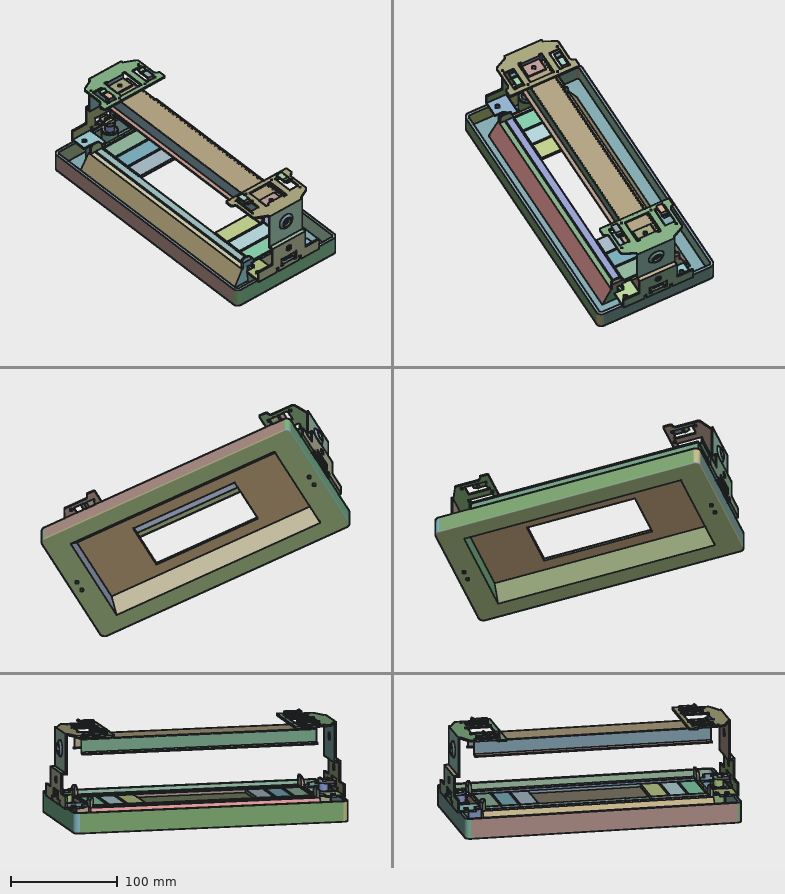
import cadquery as cq

OVERALL_LENGTH = 270.0
OVERALL_HEIGHT = 93.5

TRAY_LENGTH = 265.0
TRAY_WIDTH = 124.0
RIM_Z = 20.2
FOOT_PIN_HEIGHT = 0.67
TRAY_WALL = 3.0
FLOOR_THICKNESS = 2.2
TRAY_CORNER_RADIUS = 5.0
TRAY_EDGE_RADIUS = 1.0

DECK_BASE_LENGTH = 222.7
DECK_BASE_WIDTH = 96.5
DECK_TOP_LENGTH = 221.5
DECK_TOP_WIDTH = 74.2
WINDOW_LENGTH = 108.0
WINDOW_WIDTH = 46.0
SLAT_GROOVE_WIDTH = 1.3
RAIL_GROOVE_WIDTH = 1.0
SLAT_BEVEL = 1.0
GROOVE_DEPTH = 1.0
SLAT_PITCH = 17.8
SLAT_GROOVES = 3
RAIL_GROOVE_Y = 31.0

EAR_THICKNESS = 2.7
EAR_TOP_Z = 30.2
EAR_INNER_Y = 22.7
EAR_OUTER_Y = 36.0
EAR_CHAMFER_X = 1.5
EAR_CHAMFER_Z = 3.2
EAR_OUTER_RADIUS = 2.7
EAR_INNER_RADIUS = 8.0

RIB_OUTER_Y = 30.8
RIB_LENGTH = 12.0

POST_X = 123.7
POST_BASE_RADIUS = 7.8
POST_BASE_CHAMFER = 0.8
POST_RADIUS = 4.5
HEAD_RADIUS = 5.0
HEAD_BOTTOM_Z = 27.8
POST_TOP_Z = 31.9
POST_SLOT_WIDTH = 5.0
POST_SLOT_OFFSET = 0.8
TONGUE_BOTTOM_Z = 27.5
TONGUE_TOP_Z = 30.0
TONGUE_WIDTH = 9.7
FOOT_PIN_RADIUS = 1.5
FOOT_PIN_Y = 4.9

SHEET = 1.5
JOG = 4.3
JOG_TOP_Z = 51.3
PLATE_TOP_Z = 88.5
NECK_WIDTH = 40.0
FLANGE_WIDTH = 74.2
FLANGE_TOP_Z = 31.9
NECK_FILLET = 1.0
FOOT_LENGTH = 17.8
FOOT_NOTCH_WIDTH = 31.9
ARM_OUTER_Y = 26.0
ARM_FILLET = 2.7
FOOT_HOLE_X = 125.3
FOOT_HOLE_Y = 30.0
FOOT_HOLE_RADIUS = 2.2
LATCH_WINDOW_WIDTH = 19.0
LATCH_WINDOW_BOTTOM_Z = 24.3
LATCH_WINDOW_TOP_Z = 32.7
LATCH_SHELF_WIDTH = 13.0
LATCH_SHELF_LENGTH = 3.5
RELIEF_Y = 13.8
RELIEF_WIDTH = 2.5
WALL_HOLE_Z = 41.8
WALL_HOLE_RADIUS = 3.0
BOSS_Z = 71.5
BOSS_BASE_RADIUS = 8.0
BOSS_TOP_RADIUS = 5.5
BOSS_HEIGHT = 2.2
BOSS_HOLE_RADIUS = 3.5
BOSS_SINK_RADIUS = 4.3

PLATE_INNER_X = 87.5
PLATE_HEAD_LENGTH = 8.6
PLATE_HEAD_WIDTH = 74.5
PLATE_BODY_WIDTH = 66.0
PLATE_FILLET = 3.2
PLATE_HEAD_RADIUS = 1.3
PLATE_TAPER_OUTER_X = 128.5
PLATE_TAPER_INNER_X = 122.0
PLATE_TAPER_RADIUS = 2.7
CUTOUT_INNER_X = 92.3
CLIP_CUTOUT_OUTER_X = 113.7
CLIP_CUTOUT_WIDTH = 10.5
CLIP_CUTOUT_Y = 24.3
TAB_CUTOUT_WIDTH = 25.0
TAB_CUTOUT_OUTER_X = 117.0
TAB_WIDTH = 19.0
TAB_INNER_X = 102.3
TAB_HOLE_X = 109.0
TAB_HOLE_RADIUS = 2.0
CLIP_WIDTH = 6.5
CLIP_Y = 24.0
CLIP_THICKNESS = 1.3
CLIP_TOP_Z = 92.3
CLIP_BEND_X = 101.5
CLIP_DIP_X = 103.7
CLIP_DIP = 0.8
CLIP_PEAK_X = 106.6
CLIP_END_X = 108.0
DIMPLE_PLACES = [(116.6, 29.2), (91.3, 15.7)]
DIMPLE_RADIUS = 1.3
DIMPLE_HEIGHT = 0.5
DIMPLE_HOLE_RADIUS = 0.67

CHANNEL_LENGTH = 227.3
CHANNEL_TOP_Z = 82.0
CHANNEL_BOTTOM_Z = 67.5
CHANNEL_WIDTH = 27.0
CHANNEL_FLANGE_WIDTH = 35.0
CHANNEL_SHEET = 1.0
CHANNEL_FLANGE_DROP = 0.8

END_X = OVERALL_LENGTH / 2
TRAY_HEIGHT = RIM_Z - FOOT_PIN_HEIGHT
FLOOR_TOP_Z = FOOT_PIN_HEIGHT + FLOOR_THICKNESS
DECK_END_X = DECK_TOP_LENGTH / 2
NECK_OUTER_X = END_X - JOG
ARM_END_X = DECK_END_X
PLATE_BOTTOM_Z = PLATE_TOP_Z - SHEET
PLATE_HEAD_X = PLATE_INNER_X + PLATE_HEAD_LENGTH


def block(x_range, y_range, z_range):
    """Box between two limits along each axis."""
    sizes = [high - low for low, high in (x_range, y_range, z_range)]
    corner = (x_range[0], y_range[0], z_range[0])
    return cq.Workplane("XY").box(*sizes, centered=False).translate(corner)


def wide_block(x_range, width, z_range):
    """Box centred on the XZ plane."""
    return block(x_range, (-width / 2, width / 2), z_range)


def upright(x, y, z_range, radius):
    """Vertical cylinder."""
    height = z_range[1] - z_range[0]
    return cq.Workplane("XY", origin=(x, y, z_range[0])).circle(radius).extrude(height)


def both_sides(shape):
    """The shape together with its mirror image across the XZ plane."""
    return shape.union(shape.mirror("XZ"))


def both_ends(shape):
    """The shape together with its mirror image across the YZ plane."""
    return shape.union(shape.mirror("YZ"))


def tray_shell():
    shell = (
        cq.Workplane("XY", origin=(0, 0, FOOT_PIN_HEIGHT))
        .rect(TRAY_LENGTH, TRAY_WIDTH)
        .extrude(TRAY_HEIGHT)
        .edges("|Z")
        .fillet(TRAY_CORNER_RADIUS)
        .faces("<Z")
        .edges()
        .fillet(TRAY_EDGE_RADIUS)
    )
    inside = (
        cq.Workplane("XY", origin=(0, 0, FLOOR_TOP_Z))
        .rect(TRAY_LENGTH - 2 * TRAY_WALL, TRAY_WIDTH - 2 * TRAY_WALL)
        .extrude(TRAY_HEIGHT)
        .edges("|Z")
        .fillet(TRAY_CORNER_RADIUS - TRAY_WALL)
    )
    return shell.cut(inside)


def tapered_block(bottom_z, top_z, inset):
    """Deck outline drawn in by an inset, from one level to another."""
    return (
        cq.Workplane("XY", origin=(0, 0, bottom_z))
        .rect(DECK_BASE_LENGTH - 2 * inset, DECK_BASE_WIDTH - 2 * inset)
        .workplane(offset=top_z - bottom_z)
        .rect(DECK_TOP_LENGTH - 2 * inset, DECK_TOP_WIDTH - 2 * inset)
        .loft(combine=True)
    )


def groove(plane, sides, bottom, start, length):
    """Straight groove in the deck top: V section between two sides, meeting at a bottom line."""
    corners = [(sides[0], RIM_Z), (sides[1], RIM_Z), (bottom, RIM_Z - GROOVE_DEPTH)]
    section = cq.Workplane(plane).workplane(offset=start).polyline(corners).close()
    return section.extrude(length)


def even_groove(plane, place, width, start, length):
    """Symmetrical groove centred on a place."""
    return groove(plane, (place - width / 2, place + width / 2), place, start, length)


def deck_grooves():
    """Rail grooves, bevels along the slat ends and grooves between the slats."""
    rail = even_groove("YZ", RAIL_GROOVE_Y, RAIL_GROOVE_WIDTH, -DECK_END_X, DECK_TOP_LENGTH)
    slat_end_y = WINDOW_WIDTH / 2
    slats_x = WINDOW_LENGTH / 2
    slats_length = SLAT_GROOVES * SLAT_PITCH
    bevel = groove("YZ", (slat_end_y - SLAT_BEVEL, slat_end_y), slat_end_y, slats_x, slats_length)
    grooves = both_sides(rail).union(both_ends(both_sides(bevel)))
    for index in range(1, SLAT_GROOVES + 1):
        x = slats_x + index * SLAT_PITCH
        between = even_groove("XZ", x, SLAT_GROOVE_WIDTH, -slat_end_y, WINDOW_WIDTH)
        grooves = grooves.union(both_ends(between))
    return grooves


def ear():
    """Upright lug on the deck end, with rounded shoulders and a bevelled outward face."""
    lug = (
        block(
            (DECK_END_X - EAR_THICKNESS, DECK_END_X),
            (EAR_INNER_Y, EAR_OUTER_Y),
            (RIM_Z - TRAY_WALL, EAR_TOP_Z),
        )
        .edges("|X and >Z and >Y")
        .fillet(EAR_OUTER_RADIUS)
        .edges("|X and >Z and <Y")
        .fillet(EAR_INNER_RADIUS)
    )
    bevel_corners = [
        (DECK_END_X, EAR_TOP_Z - EAR_CHAMFER_Z),
        (DECK_END_X, EAR_TOP_Z),
        (DECK_END_X - EAR_CHAMFER_X, EAR_TOP_Z),
    ]
    bevel = cq.Workplane("XZ").polyline(bevel_corners).close().extrude(-EAR_OUTER_Y)
    return lug.cut(bevel)


def rib():
    return block(
        (DECK_END_X, DECK_END_X + RIB_LENGTH),
        (RIB_OUTER_Y - TRAY_WALL, RIB_OUTER_Y),
        (FOOT_PIN_HEIGHT, RIM_Z),
    )


def snap_post():
    """Slotted post with a tongue that reaches out to the bracket's latch window."""
    post = upright(POST_X, 0, (FOOT_PIN_HEIGHT, RIM_Z), POST_BASE_RADIUS)
    post = post.faces(">Z").chamfer(POST_BASE_CHAMFER)
    post = post.union(upright(POST_X, 0, (RIM_Z, HEAD_BOTTOM_Z), POST_RADIUS))
    post = post.union(upright(POST_X, 0, (HEAD_BOTTOM_Z, POST_TOP_Z), HEAD_RADIUS))
    slot_x = POST_X + POST_SLOT_OFFSET
    slot_range = (slot_x - POST_SLOT_WIDTH / 2, slot_x + POST_SLOT_WIDTH / 2)
    post = post.cut(wide_block(slot_range, 2 * HEAD_RADIUS, (TONGUE_TOP_Z, POST_TOP_Z)))
    tongue_range = (TONGUE_BOTTOM_Z, TONGUE_TOP_Z)
    post = post.union(wide_block((POST_X, END_X - SHEET), TONGUE_WIDTH, tongue_range))
    pin = upright(POST_X, FOOT_PIN_Y, (0, FLOOR_TOP_Z), FOOT_PIN_RADIUS)
    return post.union(both_sides(pin))


def make_tray():
    tray = tray_shell()
    tray = tray.union(tapered_block(FOOT_PIN_HEIGHT, RIM_Z, 0))
    tray = tray.cut(tapered_block(FOOT_PIN_HEIGHT, RIM_Z - TRAY_WALL, TRAY_WALL))
    tray = tray.cut(wide_block((-WINDOW_LENGTH / 2, WINDOW_LENGTH / 2), WINDOW_WIDTH, (0, RIM_Z)))
    tray = tray.cut(deck_grooves())
    end_features = both_sides(ear()).union(both_sides(rib())).union(snap_post())
    return tray.union(both_ends(end_features))


def bracket_wall():
    """Upright strip: wide flange, narrow neck, jog inward and neck up to the plate."""
    half_outline = [
        (0, RIM_Z),
        (FLANGE_WIDTH / 2, RIM_Z),
        (FLANGE_WIDTH / 2, FLANGE_TOP_Z),
        (NECK_WIDTH / 2, FLANGE_TOP_Z),
        (NECK_WIDTH / 2, JOG_TOP_Z),
        (0, JOG_TOP_Z),
    ]
    half = cq.Workplane("YZ", origin=(END_X - SHEET, 0, 0)).polyline(half_outline).close()
    neck_corner = cq.NearestToPointSelector((END_X, NECK_WIDTH / 2, FLANGE_TOP_Z))
    half = half.extrude(SHEET).edges("|X").edges(neck_corner).fillet(NECK_FILLET)
    lower = both_sides(half)
    jog = wide_block((NECK_OUTER_X - SHEET, END_X), NECK_WIDTH, (JOG_TOP_Z - SHEET, JOG_TOP_Z))
    neck_range = (JOG_TOP_Z - SHEET, PLATE_TOP_Z)
    neck = wide_block((NECK_OUTER_X - SHEET, NECK_OUTER_X), NECK_WIDTH, neck_range)
    return lower.union(jog).union(neck)


def bracket_foot():
    """Flat foot on the tray rim with two arms around the snap post."""
    levels = (RIM_Z, RIM_Z + SHEET)
    half_outline = [
        (END_X, 0),
        (END_X, FLANGE_WIDTH / 2),
        (END_X - FOOT_LENGTH, FLANGE_WIDTH / 2),
        (END_X - FOOT_LENGTH, ARM_OUTER_Y),
        (ARM_END_X, ARM_OUTER_Y),
        (ARM_END_X, 0),
    ]
    half = cq.Workplane("XY", origin=(0, 0, RIM_Z)).polyline(half_outline).close()
    arm_root = cq.NearestToPointSelector((END_X - FOOT_LENGTH, ARM_OUTER_Y, RIM_Z))
    half = half.extrude(SHEET).edges("|Z").edges(arm_root).fillet(ARM_FILLET)
    foot = both_sides(half)
    foot = foot.cut(wide_block((0, END_X - SHEET), FOOT_NOTCH_WIDTH, levels))
    hole = upright(FOOT_HOLE_X, FOOT_HOLE_Y, levels, FOOT_HOLE_RADIUS)
    return foot.cut(both_sides(hole))


def wall_openings():
    across = (NECK_OUTER_X - SHEET, END_X)
    openings = wide_block(across, LATCH_WINDOW_WIDTH, (LATCH_WINDOW_BOTTOM_Z, LATCH_WINDOW_TOP_Z))
    relief_range = (RELIEF_Y - RELIEF_WIDTH / 2, RELIEF_Y + RELIEF_WIDTH / 2)
    relief = block(across, relief_range, (RIM_Z, LATCH_WINDOW_BOTTOM_Z))
    openings = openings.union(both_sides(relief))
    for z, radius in ((WALL_HOLE_Z, WALL_HOLE_RADIUS), (BOSS_Z, BOSS_HOLE_RADIUS)):
        hole = cq.Workplane("YZ").center(0, z).circle(radius).extrude(END_X)
        openings = openings.union(hole)
    return openings


def latch_shelf():
    """Ledge folded inward below the latch window."""
    levels = (LATCH_WINDOW_BOTTOM_Z, LATCH_WINDOW_BOTTOM_Z + SHEET)
    return wide_block((END_X - SHEET - LATCH_SHELF_LENGTH, END_X), LATCH_SHELF_WIDTH, levels)


def wall_boss():
    """Conical collar around the upper wall hole, countersunk from its face."""
    base = cq.Workplane("YZ", origin=(NECK_OUTER_X, 0, BOSS_Z))
    cone = base.circle(BOSS_BASE_RADIUS).workplane(offset=BOSS_HEIGHT)
    cone = cone.circle(BOSS_TOP_RADIUS).loft(combine=True)
    sink = base.circle(BOSS_HOLE_RADIUS).workplane(offset=BOSS_HEIGHT)
    return cone.cut(sink.circle(BOSS_SINK_RADIUS).loft(combine=True))


def plate_outline():
    half_outline = [
        (NECK_OUTER_X, 0),
        (NECK_OUTER_X, NECK_WIDTH / 2),
        (PLATE_TAPER_OUTER_X, NECK_WIDTH / 2),
        (PLATE_TAPER_INNER_X, PLATE_BODY_WIDTH / 2),
        (PLATE_HEAD_X, PLATE_BODY_WIDTH / 2),
        (PLATE_HEAD_X, PLATE_HEAD_WIDTH / 2),
        (PLATE_INNER_X, PLATE_HEAD_WIDTH / 2),
        (PLATE_INNER_X, 0),
    ]
    half = cq.Workplane("XY", origin=(0, 0, PLATE_BOTTOM_Z)).polyline(half_outline).close()
    half = half.extrude(SHEET)
    corner_radii = ((PLATE_HEAD_X, PLATE_FILLET), (PLATE_TAPER_INNER_X, PLATE_TAPER_RADIUS))
    for x, radius in corner_radii:
        corner = cq.NearestToPointSelector((x, PLATE_BODY_WIDTH / 2, PLATE_TOP_Z))
        half = half.edges("|Z").edges(corner).fillet(radius)
    half = half.edges("|Z and >Y").fillet(PLATE_HEAD_RADIUS)
    return both_sides(half)


def clip():
    """Spring tongue bent up from the plate, with a raised tip."""
    root_x = CUTOUT_INNER_X + CLIP_THICKNESS
    underside_z = CLIP_TOP_Z - CLIP_THICKNESS
    profile = [
        (CUTOUT_INNER_X, PLATE_BOTTOM_Z),
        (CUTOUT_INNER_X, CLIP_TOP_Z),
        (CLIP_BEND_X, CLIP_TOP_Z),
        (CLIP_DIP_X, CLIP_TOP_Z - CLIP_DIP),
        (CLIP_PEAK_X, OVERALL_HEIGHT),
        (CLIP_END_X, CLIP_TOP_Z),
        (CLIP_DIP_X, underside_z - CLIP_DIP),
        (CLIP_BEND_X, underside_z),
        (root_x, underside_z),
        (root_x, PLATE_BOTTOM_Z),
    ]
    start_y = CLIP_Y + CLIP_WIDTH / 2
    return cq.Workplane("XZ", origin=(0, start_y, 0)).polyline(profile).close().extrude(CLIP_WIDTH)


def channel_tab():
    """Tab bent down from the plate onto the top of the channel."""
    drop = wide_block(
        (TAB_CUTOUT_OUTER_X - SHEET, TAB_CUTOUT_OUTER_X), TAB_WIDTH, (CHANNEL_TOP_Z, PLATE_TOP_Z)
    )
    levels = (CHANNEL_TOP_Z, CHANNEL_TOP_Z + SHEET)
    seat = wide_block((TAB_INNER_X, TAB_CUTOUT_OUTER_X), TAB_WIDTH, levels)
    return drop.union(seat.cut(upright(TAB_HOLE_X, 0, levels, TAB_HOLE_RADIUS)))


def bracket_plate():
    levels = (PLATE_BOTTOM_Z, PLATE_TOP_Z)
    plate = plate_outline()
    clip_cutout = block(
        (CUTOUT_INNER_X, CLIP_CUTOUT_OUTER_X),
        (CLIP_CUTOUT_Y - CLIP_CUTOUT_WIDTH / 2, CLIP_CUTOUT_Y + CLIP_CUTOUT_WIDTH / 2),
        levels,
    )
    plate = plate.cut(both_sides(clip_cutout))
    plate = plate.cut(wide_block((CUTOUT_INNER_X, TAB_CUTOUT_OUTER_X), TAB_CUTOUT_WIDTH, levels))
    for x, y in DIMPLE_PLACES:
        dimple = upright(x, y, (PLATE_BOTTOM_Z - DIMPLE_HEIGHT, PLATE_BOTTOM_Z), DIMPLE_RADIUS)
        plate = plate.union(both_sides(dimple))
        hole = upright(x, y, (PLATE_BOTTOM_Z, PLATE_TOP_Z), DIMPLE_HOLE_RADIUS)
        plate = plate.cut(both_sides(hole))
    return plate.union(both_sides(clip())).union(channel_tab())


def make_bracket():
    bracket = bracket_wall().union(bracket_foot()).union(wall_boss())
    bracket = bracket.cut(wall_openings())
    return bracket.union(latch_shelf()).union(bracket_plate())


def make_channel():
    """Inverted U section whose lower flanges slope slightly down."""
    half_top = CHANNEL_WIDTH / 2
    half_flange = CHANNEL_FLANGE_WIDTH / 2
    flange_z = CHANNEL_BOTTOM_Z + CHANNEL_FLANGE_DROP
    inside = half_top - CHANNEL_SHEET
    right_half = [
        (half_top, CHANNEL_TOP_Z),
        (half_top, flange_z + CHANNEL_SHEET),
        (half_flange, CHANNEL_BOTTOM_Z + CHANNEL_SHEET),
        (half_flange, CHANNEL_BOTTOM_Z),
        (inside, flange_z),
        (inside, CHANNEL_TOP_Z - CHANNEL_SHEET),
    ]
    left_half = [(-y, z) for y, z in reversed(right_half)]
    section = cq.Workplane("YZ", origin=(-CHANNEL_LENGTH / 2, 0, 0)).polyline(right_half + left_half)
    return section.close().extrude(CHANNEL_LENGTH)


def make_frame():
    """Two brackets joined by the channel, as one solid."""
    return both_ends(make_bracket()).union(make_channel())


tray = make_tray()
frame = make_frame()
result = cq.Compound.makeCompound([tray.val(), frame.val()])